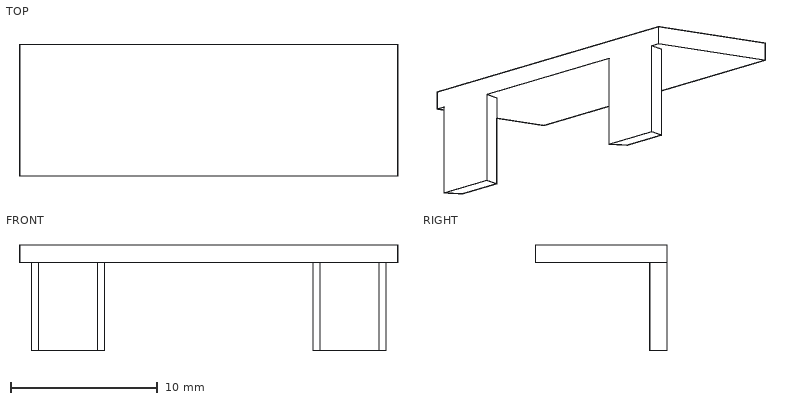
import cadquery as cq

plate_length = 25.8
plate_width = 9.0
plate_thickness = 1.2

leg_height = 6.0
leg_depth = 1.2
leg_rear_width = 5.0
leg_side_setback = 0.5
leg_end_margin = 0.8

leg_center_x = plate_length / 2 - leg_end_margin - leg_rear_width / 2
rear_y = plate_width / 2


def make_plate():
    """Flat plate centred on the Z axis, with its underside at Z = 0."""
    return cq.Workplane("XY").box(
        plate_length, plate_width, plate_thickness, centered=(True, True, False)
    )


def make_leg(center_x):
    """Leg hanging below the plate, flush with its rear edge and narrowing forward."""
    rear_half = leg_rear_width / 2
    front_half = rear_half - leg_side_setback
    front_y = rear_y - leg_depth
    outline = [
        (center_x - rear_half, rear_y),
        (center_x - front_half, front_y),
        (center_x + front_half, front_y),
        (center_x + rear_half, rear_y),
    ]
    return cq.Workplane("XY").polyline(outline).close().extrude(-leg_height)


result = make_plate()
for side in (-1, 1):
    result = result.union(make_leg(side * leg_center_x))